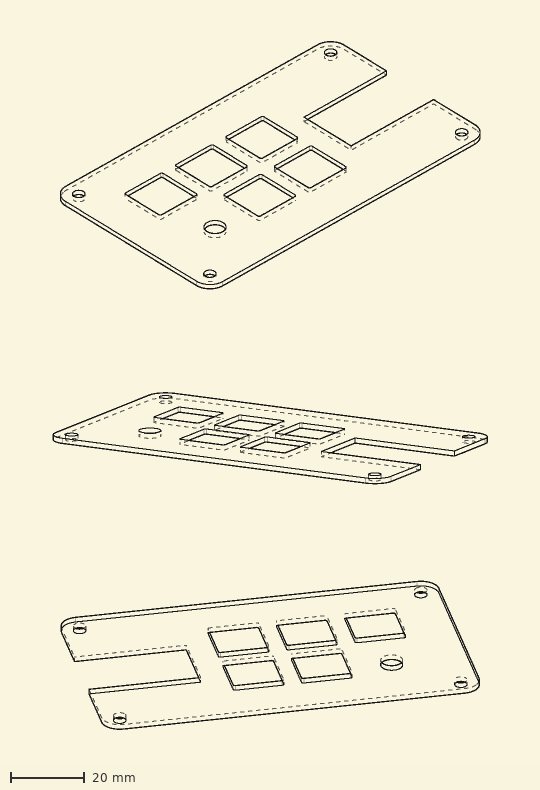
import cadquery as cq

width = 61.5
length = 105.0
thickness = 1.5
corner_radius = 5.0

mount_hole_diameter = 3.4
mount_spacing_x = width - 2 * corner_radius
mount_spacing_y = length - 2 * corner_radius

notch_width = 18.5
notch_depth = 31.1
notch_center_x = 0.2

key_size = 14.1
key_corner_radius = 0.5
key_pitch = 19.0
first_key_x = -10.2
first_key_y = 6.6
key_cells = [(0, 0), (1, 0), (0, 1), (1, 1), (0, 2)]

round_hole_diameter = 6.0
round_hole_x = 11.0
round_hole_y = first_key_y - 2 * key_pitch


def make_plate():
    return (
        cq.Workplane("XY")
        .box(width, length, thickness)
        .edges("|Z")
        .fillet(corner_radius)
    )


def make_notch():
    return (
        cq.Workplane("XY")
        .box(notch_width, 2 * notch_depth, 2 * thickness)
        .translate((notch_center_x, length / 2, 0))
    )


def make_key_opening(column, row):
    x = first_key_x + column * key_pitch
    y = first_key_y - row * key_pitch
    return (
        cq.Workplane("XY")
        .box(key_size, key_size, 2 * thickness)
        .edges("|Z")
        .fillet(key_corner_radius)
        .translate((x, y, 0))
    )


result = make_plate().cut(make_notch())
for column, row in key_cells:
    result = result.cut(make_key_opening(column, row))

result = (
    result.faces(">Z")
    .workplane(origin=(0, 0, 0))
    .rect(mount_spacing_x, mount_spacing_y, forConstruction=True)
    .vertices()
    .hole(mount_hole_diameter)
)
result = (
    result.faces(">Z")
    .workplane(origin=(0, 0, 0))
    .center(round_hole_x, round_hole_y)
    .hole(round_hole_diameter)
)